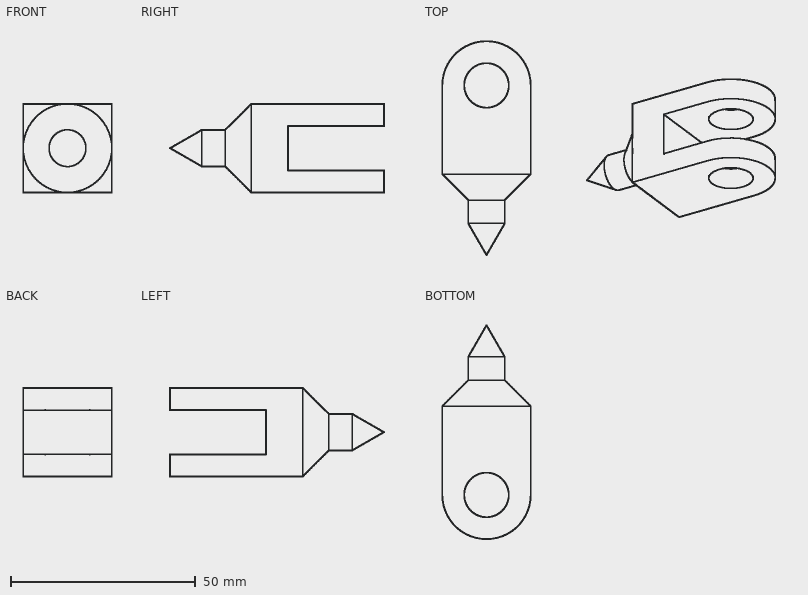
import cadquery as cq
import math

total_length = 58.0
width = 24.0
body_length = 36.0
hole_diameter = 12.0
slot_height = 12.0
slot_depth = 26.0
pin_diameter = 10.0
tip_angle = 60.0

eye_radius = width / 2
pin_radius = pin_diameter / 2
front_face_y = eye_radius - body_length
slot_floor_y = eye_radius - slot_depth
tip_y = eye_radius - total_length
pin_start_y = front_face_y - (eye_radius - pin_radius)
tip_start_y = tip_y + pin_radius / math.tan(math.radians(tip_angle / 2))


def make_body():
    """Square block with a fully rounded end."""
    return (
        cq.Workplane("XY")
        .moveTo(-eye_radius, front_face_y)
        .lineTo(eye_radius, front_face_y)
        .lineTo(eye_radius, 0)
        .threePointArc((0, eye_radius), (-eye_radius, 0))
        .close()
        .extrude(width / 2, both=True)
    )


def make_slot():
    """Open gap that splits the block into two fork arms."""
    return (
        cq.Workplane("XY")
        .box(width, slot_depth, slot_height)
        .translate((0, slot_floor_y + slot_depth / 2, 0))
    )


def make_eye_hole():
    """Cross hole through both fork arms."""
    return cq.Workplane("XY").circle(hole_diameter / 2).extrude(width / 2, both=True)


def make_pin():
    """Conical shoulder, cylindrical pin and pointed tip, turned about Y."""
    return (
        cq.Workplane("XY")
        .moveTo(0, front_face_y)
        .lineTo(eye_radius, front_face_y)
        .lineTo(pin_radius, pin_start_y)
        .lineTo(pin_radius, tip_start_y)
        .lineTo(0, tip_y)
        .close()
        .revolve(360, (0, 0, 0), (0, 1, 0))
    )


result = make_body().cut(make_slot()).cut(make_eye_hole()).union(make_pin())